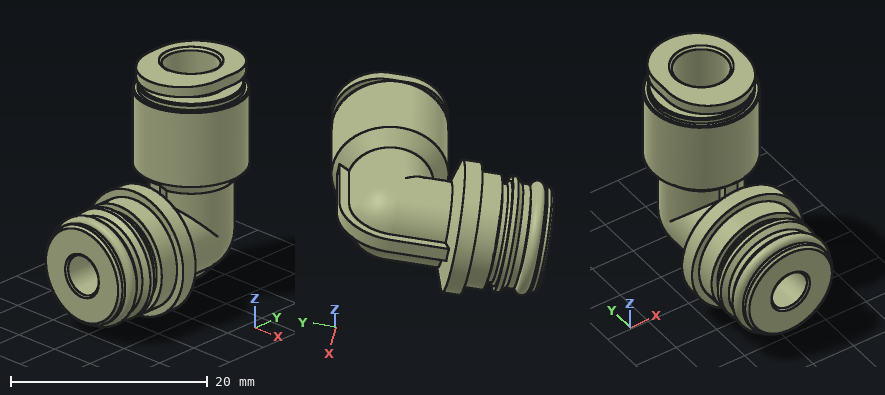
import cadquery as cq
import math


ELBOW_R = 8.85 / 2
PASSAGE_R = 3.3 / 2
WEB_THICKNESS = 1.5
WEB_REACH = 5.35

TOP_Z = 18.8
SOCKET_R = 11.9 / 2
SOCKET_CONE_BOTTOM_Z = 5.9
SOCKET_CONE_TOP_Z = 7.35
SOCKET_TOP_Z = 15.77
SOCKET_CHAMFER = 0.13
CAP_R = 10.9 / 2
CAP_TOP_Z = 16.4
CAP_CHAMFER = 0.15
NECK_R = 7.4 / 2
NECK_FLARE_Z = 16.85
NECK_FLARE_GROWTH = 0.2

BUTTON_BOTTOM_Z = 17.3
BUTTON_RIM_Z = 18.37
BUTTON_WIDTH = 9.8
BUTTON_LENGTH = 11.85
TUBE_BORE_R = 6.0 / 2
TUBE_BORE_CHAMFER = 0.28
TUBE_BORE_BOTTOM_Z = 7.7

SPIGOT_END = 16.0
FLANGE_R = 13.7 / 2
FLANGE_CONE_START = 5.62
FLANGE_START = 6.46
FLANGE_END = 8.28
SHOULDER_R = 11.95 / 2
SHOULDER_END = 10.52
CLIP_GROOVE_R = 10.15 / 2
CLIP_GROOVE_END = 11.62
CLIP_GROOVE_BACK_FILLET = 0.18
CLIP_GROOVE_FRONT_FILLET = 0.35
RIDGE_END = 12.18
NOSE_R = 10.8 / 2
NOSE_START = RIDGE_END + SHOULDER_R - NOSE_R
RING_GROOVE_R = 8.6 / 2
RING_GROOVE_START = 13.55
RING_GROOVE_END = 15.3
NOSE_CHAMFER = 0.3
RING_OUTER_R = 11.85 / 2
RING_SECTION_R = 0.67
RING_CENTRE = (RING_GROOVE_START + RING_GROOVE_END) / 2
MOUTH_R = 4.75 / 2
MOUTH_BORE_R = 4.3 / 2
MOUTH_CHAMFER = MOUTH_R - MOUTH_BORE_R
MOUTH_BORE_END = 10.77
MOUTH_TAPER_END = MOUTH_BORE_END - (MOUTH_BORE_R - PASSAGE_R)


def revolve_about_z(profile):
    """Revolve a sketch of (radius, height) points in the XZ plane about Z."""
    return profile.close().revolve(360, (0, 0, 0), (0, 1, 0))


def lay_along_spigot(body):
    """Turn a body built along +Z so that it runs along -Y."""
    return body.rotate((0, 0, 0), (1, 0, 0), 90)


def make_elbow():
    upright = cq.Workplane("XY").circle(ELBOW_R).extrude(SOCKET_CONE_TOP_Z)
    level = lay_along_spigot(cq.Workplane("XY").circle(ELBOW_R).extrude(FLANGE_START))
    corner = cq.Workplane("XY").sphere(ELBOW_R)
    return upright.union(level).union(corner)


def make_web():
    """Thin plate in the plane of the two axes, rounded round the outer bend."""
    diagonal = WEB_REACH * math.sqrt(0.5)
    outline = (
        cq.Workplane("YZ", origin=(-WEB_THICKNESS / 2, 0, 0))
        .moveTo(-FLANGE_START, -WEB_REACH)
        .lineTo(0, -WEB_REACH)
        .threePointArc((diagonal, -diagonal), (WEB_REACH, 0))
        .lineTo(WEB_REACH, SOCKET_CONE_TOP_Z)
        .lineTo(-WEB_REACH, SOCKET_CONE_TOP_Z)
        .lineTo(-WEB_REACH, WEB_REACH)
        .lineTo(-FLANGE_START, WEB_REACH)
    )
    return outline.close().extrude(WEB_THICKNESS)


def make_socket():
    """Conical-bottomed sleeve, its cap and the neck under the button."""
    return revolve_about_z(
        cq.Workplane("XZ")
        .moveTo(0, SOCKET_CONE_BOTTOM_Z)
        .lineTo(ELBOW_R, SOCKET_CONE_BOTTOM_Z)
        .lineTo(SOCKET_R, SOCKET_CONE_TOP_Z)
        .lineTo(SOCKET_R, SOCKET_TOP_Z - SOCKET_CHAMFER)
        .lineTo(SOCKET_R - SOCKET_CHAMFER, SOCKET_TOP_Z)
        .lineTo(CAP_R, SOCKET_TOP_Z)
        .lineTo(CAP_R, CAP_TOP_Z - CAP_CHAMFER)
        .lineTo(CAP_R - CAP_CHAMFER, CAP_TOP_Z)
        .lineTo(NECK_R, CAP_TOP_Z)
        .lineTo(NECK_R, NECK_FLARE_Z)
        .lineTo(NECK_R + NECK_FLARE_GROWTH, BUTTON_BOTTOM_Z)
        .lineTo(0, BUTTON_BOTTOM_Z)
    )


def make_button():
    plate = (
        cq.Workplane("XY", origin=(0, 0, BUTTON_BOTTOM_Z))
        .slot2D(BUTTON_LENGTH, BUTTON_WIDTH, 90)
        .extrude(TOP_Z - BUTTON_BOTTOM_Z)
    )
    cone_envelope = revolve_about_z(
        cq.Workplane("XZ")
        .moveTo(0, BUTTON_BOTTOM_Z)
        .lineTo(SOCKET_R, BUTTON_BOTTOM_Z)
        .lineTo(SOCKET_R, BUTTON_RIM_Z)
        .lineTo(TUBE_BORE_R + TUBE_BORE_CHAMFER, TOP_Z)
        .lineTo(0, TOP_Z)
    )
    return plate.intersect(cone_envelope)


def make_spigot():
    """Flange, retaining-clip groove, ridge and ring groove."""
    groove_back = CLIP_GROOVE_R + CLIP_GROOVE_BACK_FILLET
    groove_front = CLIP_GROOVE_R + CLIP_GROOVE_FRONT_FILLET
    return revolve_about_z(
        cq.Workplane("XZ")
        .moveTo(0, FLANGE_CONE_START)
        .lineTo(ELBOW_R, FLANGE_CONE_START)
        .lineTo(FLANGE_R, FLANGE_START)
        .lineTo(FLANGE_R, FLANGE_END)
        .lineTo(SHOULDER_R, FLANGE_END)
        .lineTo(SHOULDER_R, SHOULDER_END)
        .lineTo(groove_back, SHOULDER_END)
        .radiusArc((CLIP_GROOVE_R, SHOULDER_END + CLIP_GROOVE_BACK_FILLET), -CLIP_GROOVE_BACK_FILLET)
        .lineTo(CLIP_GROOVE_R, CLIP_GROOVE_END - CLIP_GROOVE_FRONT_FILLET)
        .radiusArc((groove_front, CLIP_GROOVE_END), -CLIP_GROOVE_FRONT_FILLET)
        .lineTo(SHOULDER_R, CLIP_GROOVE_END)
        .lineTo(SHOULDER_R, RIDGE_END)
        .lineTo(NOSE_R, NOSE_START)
        .lineTo(NOSE_R, RING_GROOVE_START)
        .lineTo(RING_GROOVE_R, RING_GROOVE_START)
        .lineTo(RING_GROOVE_R, RING_GROOVE_END)
        .lineTo(NOSE_R, RING_GROOVE_END)
        .lineTo(NOSE_R, SPIGOT_END - NOSE_CHAMFER)
        .lineTo(NOSE_R - NOSE_CHAMFER, SPIGOT_END)
        .lineTo(0, SPIGOT_END)
    )


def make_seal_ring():
    """Round-crowned ring whose straight flanks reach the groove floor."""
    crown_base_r = RING_OUTER_R - RING_SECTION_R
    return revolve_about_z(
        cq.Workplane("XZ")
        .moveTo(0, RING_CENTRE - RING_SECTION_R)
        .lineTo(crown_base_r, RING_CENTRE - RING_SECTION_R)
        .threePointArc((RING_OUTER_R, RING_CENTRE), (crown_base_r, RING_CENTRE + RING_SECTION_R))
        .lineTo(0, RING_CENTRE + RING_SECTION_R)
    )


def make_socket_passage():
    """Tube bore above the narrower passage down to the bend."""
    return revolve_about_z(
        cq.Workplane("XZ")
        .moveTo(0, 0)
        .lineTo(PASSAGE_R, 0)
        .lineTo(PASSAGE_R, TUBE_BORE_BOTTOM_Z)
        .lineTo(TUBE_BORE_R, TUBE_BORE_BOTTOM_Z)
        .lineTo(TUBE_BORE_R, TOP_Z - TUBE_BORE_CHAMFER)
        .lineTo(TUBE_BORE_R + TUBE_BORE_CHAMFER, TOP_Z)
        .lineTo(0, TOP_Z)
    )


def make_spigot_passage():
    """Passage that opens through a 45 degree cone into a wider bore with a chamfered mouth."""
    return revolve_about_z(
        cq.Workplane("XZ")
        .moveTo(0, 0)
        .lineTo(PASSAGE_R, 0)
        .lineTo(PASSAGE_R, MOUTH_TAPER_END)
        .lineTo(MOUTH_BORE_R, MOUTH_BORE_END)
        .lineTo(MOUTH_BORE_R, SPIGOT_END - MOUTH_CHAMFER)
        .lineTo(MOUTH_R, SPIGOT_END)
        .lineTo(0, SPIGOT_END)
    )


body = make_elbow().union(make_web()).union(make_socket()).union(make_button())
body = body.union(lay_along_spigot(make_spigot())).union(lay_along_spigot(make_seal_ring()))

passages = make_socket_passage().union(lay_along_spigot(make_spigot_passage()))
passages = passages.union(cq.Workplane("XY").sphere(PASSAGE_R))

result = body.cut(passages)